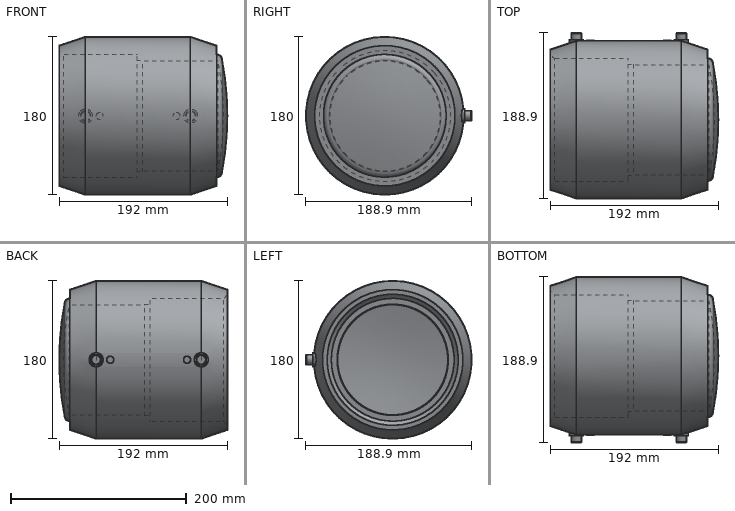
import cadquery as cq
import math

total_length = 192.0

sleeve_radius = 180.0 / 2
sleeve_end_radius = 160.0 / 2
sleeve_length = 179.7
taper_length = 30.0

bore_radius = 140.0 / 2
mouth_radius = 149.4 / 2
mouth_bevel_length = mouth_radius - bore_radius
bore_depth = 88.5
window_radius = 126.7 / 2
window_step_depth = 95.0
plug_bore_radius = 125.5 / 2
dome_thickness = 5.0

rim_radius = bore_radius
rim_round = 6.1
dome_edge_radius = rim_radius - rim_round
rim_end = sleeve_length + rim_round
dome_height = total_length - rim_end

pin_radius = 12.0 / 2
pin_tip = 98.9
pin_tip_bevel = 0.8
collar_radius = 16.0 / 2
collar_top = 91.2
button_radius = 8.0 / 2
button_top = 90.6
fitting_root = 84.5
pin_inset = taper_length
button_inset = 46.0


def dome_midpoint(tip_x, edge_radius):
    """Point on a dome arc of height dome_height, at half its edge radius."""
    sphere_radius = (edge_radius**2 + dome_height**2) / (2 * dome_height)
    mid_radius = edge_radius / 2
    mid_x = tip_x - sphere_radius + math.sqrt(sphere_radius**2 - mid_radius**2)
    return mid_x, mid_radius


def make_shell():
    """Revolve the outer shape about the X axis."""
    return (
        cq.Workplane("XY")
        .lineTo(0, sleeve_end_radius)
        .lineTo(taper_length, sleeve_radius)
        .lineTo(sleeve_length - taper_length, sleeve_radius)
        .lineTo(sleeve_length, sleeve_end_radius)
        .lineTo(sleeve_length, rim_radius)
        .radiusArc((rim_end, dome_edge_radius), rim_round)
        .threePointArc(dome_midpoint(total_length, dome_edge_radius), (total_length, 0))
        .close()
        .revolve(360, (0, 0, 0), (1, 0, 0))
    )


def make_cavity():
    """Revolve the bore, the stepped plug bore and the hollow under the dome."""
    dome_inner_tip = total_length - dome_thickness
    dome_inner_edge = dome_inner_tip - dome_height
    return (
        cq.Workplane("XY")
        .lineTo(0, mouth_radius)
        .lineTo(mouth_bevel_length, bore_radius)
        .lineTo(bore_depth, bore_radius)
        .lineTo(bore_depth, window_radius)
        .lineTo(window_step_depth, window_radius)
        .lineTo(window_step_depth, plug_bore_radius)
        .lineTo(dome_inner_edge, plug_bore_radius)
        .threePointArc(dome_midpoint(dome_inner_tip, plug_bore_radius), (dome_inner_tip, 0))
        .close()
        .revolve(360, (0, 0, 0), (1, 0, 0))
    )


def make_stud(x, radius, top):
    """Round stud pointing along +Y, rooted inside the sleeve wall."""
    return (
        cq.Workplane("XZ", origin=(x, fitting_root, 0))
        .circle(radius)
        .extrude(fitting_root - top)
    )


result = make_shell().cut(make_cavity())
for pin_x in (pin_inset, sleeve_length - pin_inset):
    pin = make_stud(pin_x, pin_radius, pin_tip).faces(">Y").chamfer(pin_tip_bevel)
    result = result.union(make_stud(pin_x, collar_radius, collar_top)).union(pin)
for button_x in (button_inset, sleeve_length - button_inset):
    result = result.union(make_stud(button_x, button_radius, button_top))